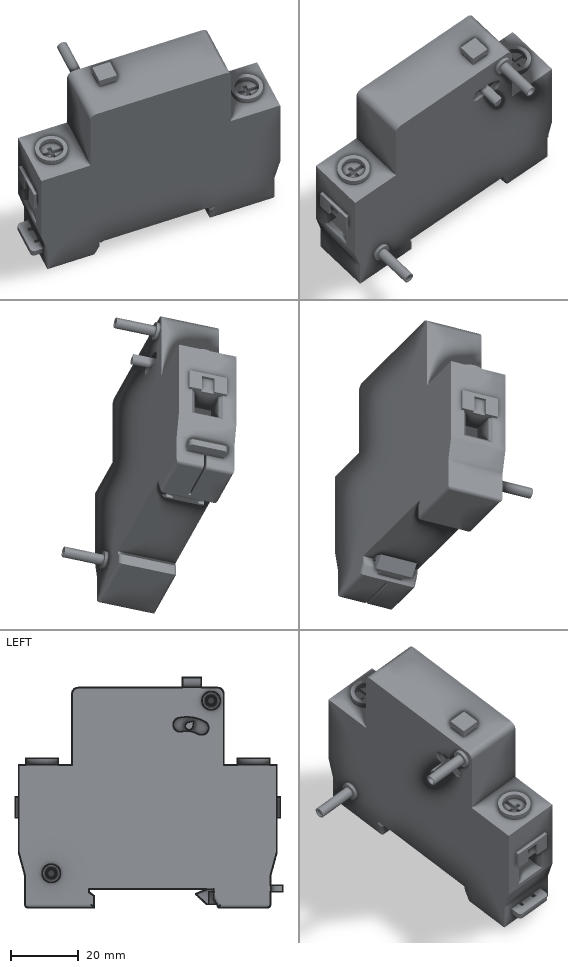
import cadquery as cq
import math

WIDTH = 18.0
LENGTH = 76.5
SHOULDER_Z = 42.3
BLOCK_TOP_Z = 65.2
BLOCK_FRONT_Y = 15.7
BLOCK_LENGTH = 45.0
BLOCK_BACK_Y = BLOCK_FRONT_Y + BLOCK_LENGTH
BLOCK_RADIUS = 2.0
TAPER_TOP_Z = 16.5
TAPER_BOTTOM_Z = 9.5
TAPER_INSET = 1.9
MID_X = WIDTH / 2
MID_Y = LENGTH / 2
CLIP_X = 8.9

RAIL_SEAT_Z = 5.5
FOOT_RADIUS = 1.0
FRONT_SLOPE_TOP_Y = 20.2
FRONT_SLOPE_BOTTOM_Y = 17.3
FRONT_TRIM_Y = 18.7
SLIT_WIDTH = 0.8
BACK_FOOT_Y = 54.1
BACK_UNDERCUT_Y = 55.6
BACK_HOOK_Z = 3.5
BACK_UNDERCUT_Z = 4.6

SCREW_FRONT_Y = 6.9
SCREW_SPACING = 62.6
SCREW_BOSS_DIAMETER = 9.6
SCREW_BOSS_HEIGHT = 2.0
SCREW_RECESS_DIAMETER = 7.2
CROSS_LONG = 7.2
CROSS_SHORT = 4.2
CROSS_WIDTH = 1.3
CROSS_DEPTH = 1.0
CROSS_TAPER_ANGLE = 10.0

WINDOW_WIDTH = 9.6
WINDOW_BOTTOM_Z = 18.0
WINDOW_DEPTH = 8.0
WINDOW_CHAMFER = 1.0
SHUTTER_WIDTH = 11.8
SHUTTER_BOTTOM_Z = 26.6
SHUTTER_HEIGHT = 6.2
SHUTTER_THICKNESS = 1.0
SHUTTER_NOTCH_WIDTH = 3.9
SHUTTER_NOTCH_HEIGHT = 5.0

BUTTON_SIZE = 5.6
BUTTON_X = 3.2
BUTTON_Y = 22.4
BUTTON_HEIGHT = 3.0

PIN_LENGTH = 13.2
PIN_DIAMETER = 3.2
PIN_BORE_DIAMETER = 2.3
COLLAR_DIAMETER = 5.4
COLLAR_THICKNESS = 1.0
PIN_CENTERS = [(19.5, 61.3), (66.8, 10.2)]

SLOT_CENTER_Y = 26.7
SLOT_CENTER_Z = 45.5
SLOT_PATH_RADIUS = 8.9
SLOT_HALF_WIDTH = 2.1
SLOT_FRONT_ANGLE = 119.5
SLOT_BACK_ANGLE = 77.5
SLOT_DEPTH = 2.0
LEVER_Y = 26.0
LEVER_Z = 53.8
LEVER_RADIUS = 1.15
LEVER_TIP_DISTANCE = 2.0
LEVER_TIP_ANGLE = 135.0
LEVER_LENGTH = 5.8

CLIP_WIDTH = 11.8
TAB_REACH = 1.75
TAB_BOTTOM_Z = 4.7
TAB_THICKNESS = 2.0
TAB_RADIUS = 1.1
HEAD_TIP_Y = 24.1
HEAD_TIP_Z = 4.1
HEAD_FACE_Y = 20.8
HEAD_BACK_Y = 20.2
HEAD_BOTTOM_Z = 1.0
NECK_WIDTH = 8.0
NECK_START_Y = 16.0
TAB_RECESS_WIDTH = 6.1
TAB_RECESS_REACH = 1.4
TAB_RECESS_DEPTH = 1.5
TAB_BRIDGE_WIDTH = 3.7
TAB_BRIDGE_DROP = 0.2


def box(x0, x1, y0, y1, z0, z1):
    return cq.Workplane("XY").box(x1 - x0, y1 - y0, z1 - z0, centered=False).translate((x0, y0, z0))


def extrude_x(points, x0, x1):
    """Extrude a closed (Y, Z) outline from x0 to x1."""
    return cq.Workplane("YZ").workplane(offset=x0).polyline(points).close().extrude(x1 - x0)


def edge_near(solid, x, y, z):
    return solid.edges(cq.selectors.NearestToPointSelector((x, y, z))).val()


def housing_shell():
    """Side outline extruded across the width, with rounded top and feet."""
    shell = extrude_x(
        [
            (0, SHOULDER_Z),
            (0, TAPER_TOP_Z),
            (TAPER_INSET, TAPER_BOTTOM_Z),
            (TAPER_INSET, 0),
            (FRONT_SLOPE_BOTTOM_Y, 0),
            (FRONT_SLOPE_TOP_Y, RAIL_SEAT_Z),
            (BACK_UNDERCUT_Y, RAIL_SEAT_Z),
            (BACK_UNDERCUT_Y, BACK_UNDERCUT_Z),
            (BACK_FOOT_Y, BACK_HOOK_Z),
            (BACK_FOOT_Y, 0),
            (LENGTH - TAPER_INSET, 0),
            (LENGTH - TAPER_INSET, TAPER_BOTTOM_Z),
            (LENGTH, TAPER_TOP_Z),
            (LENGTH, SHOULDER_Z),
            (BLOCK_BACK_Y, SHOULDER_Z),
            (BLOCK_BACK_Y, BLOCK_TOP_Z),
            (BLOCK_FRONT_Y, BLOCK_TOP_Z),
            (BLOCK_FRONT_Y, SHOULDER_Z),
        ],
        0,
        WIDTH,
    )
    shell = shell.faces(">Z").edges("|X").fillet(BLOCK_RADIUS)
    rounded_edges = shell.faces("<Z").edges("|Y").vals()
    for y in (TAPER_INSET, LENGTH - TAPER_INSET):
        rounded_edges.append(edge_near(shell, MID_X, y, 0))
    slope_middle_y = (FRONT_SLOPE_TOP_Y + FRONT_SLOPE_BOTTOM_Y) / 2
    for x in (0, WIDTH):
        rounded_edges.append(edge_near(shell, x, slope_middle_y, RAIL_SEAT_Z / 2))
        rounded_edges.append(edge_near(shell, x, BACK_FOOT_Y, BACK_HOOK_Z / 2))
    shell = shell.newObject(rounded_edges).fillet(FOOT_RADIUS)
    return shell.cut(box(0, WIDTH, FRONT_TRIM_Y, MID_Y, 0, RAIL_SEAT_Z))


def screw_boss():
    """Terminal screw ring, its recess reaching down to the shoulder."""
    return (
        cq.Workplane("XY")
        .circle(SCREW_BOSS_DIAMETER / 2)
        .circle(SCREW_RECESS_DIAMETER / 2)
        .extrude(SCREW_BOSS_HEIGHT)
    )


def screw_cross():
    """Tapered cross slot, sunk below its own origin."""

    def arm(size_x, size_y):
        return cq.Workplane("XY").rect(size_x, size_y).extrude(-CROSS_DEPTH, taper=CROSS_TAPER_ANGLE)

    return arm(CROSS_WIDTH, CROSS_LONG).union(arm(CROSS_SHORT, CROSS_WIDTH))


def window_cut():
    """Wire entry in the front end, with a bevelled lip."""
    half = WINDOW_WIDTH / 2
    throat = half - WINDOW_CHAMFER
    throat_bottom = WINDOW_BOTTOM_Z + WINDOW_CHAMFER
    pocket = box(MID_X - throat, MID_X + throat, 0, WINDOW_DEPTH, throat_bottom, SHUTTER_BOTTOM_Z)
    lip = (
        cq.Workplane("XY")
        .polyline(
            [
                (MID_X - half, 0),
                (MID_X + half, 0),
                (MID_X + throat, WINDOW_CHAMFER),
                (MID_X - throat, WINDOW_CHAMFER),
            ]
        )
        .close()
        .extrude(SHUTTER_BOTTOM_Z - WINDOW_BOTTOM_Z)
        .translate((0, 0, WINDOW_BOTTOM_Z))
    )
    sill = extrude_x(
        [(0, WINDOW_BOTTOM_Z), (WINDOW_CHAMFER, WINDOW_BOTTOM_Z), (WINDOW_CHAMFER, throat_bottom)],
        0,
        WIDTH,
    )
    return pocket.union(lip.cut(sill))


def shutter():
    half = SHUTTER_WIDTH / 2
    notch_half = SHUTTER_NOTCH_WIDTH / 2
    top_z = SHUTTER_BOTTOM_Z + SHUTTER_HEIGHT
    notch_top_z = SHUTTER_BOTTOM_Z + SHUTTER_NOTCH_HEIGHT
    plate = box(CLIP_X - half, CLIP_X + half, -SHUTTER_THICKNESS, 0, SHUTTER_BOTTOM_Z, top_z)
    notch = box(
        CLIP_X - notch_half, CLIP_X + notch_half, -SHUTTER_THICKNESS, 0, SHUTTER_BOTTOM_Z, notch_top_z
    )
    return plate.cut(notch)


def to_back_end(shape):
    """Copy of a front-end feature, mirrored to the back end."""
    return shape.mirror("XZ").translate((0, LENGTH, 0))


def cylinder_x(y, z, diameter, x0, x1):
    return cq.Workplane("YZ").workplane(offset=x0).center(y, z).circle(diameter / 2).extrude(x1 - x0)


def coupling_pin(y, z):
    shank = cylinder_x(y, z, PIN_DIAMETER, -PIN_LENGTH, 0)
    collar = cylinder_x(y, z, COLLAR_DIAMETER, -COLLAR_THICKNESS, 0)
    bore = cylinder_x(y, z, PIN_BORE_DIAMETER, -PIN_LENGTH, 0)
    return shank.union(collar).cut(bore)


def polar_point(center_y, center_z, radius, angle):
    """(Y, Z) point at an angle in degrees, measured from +Y toward +Z."""
    turn = math.radians(angle)
    return (center_y + radius * math.cos(turn), center_z + radius * math.sin(turn))


def curved_slot():
    """Round-ended slot that follows an arc."""
    outer = SLOT_PATH_RADIUS + SLOT_HALF_WIDTH
    inner = SLOT_PATH_RADIUS - SLOT_HALF_WIDTH
    middle_angle = (SLOT_FRONT_ANGLE + SLOT_BACK_ANGLE) / 2
    cap_turn = 2 * math.degrees(math.asin(SLOT_HALF_WIDTH / SLOT_PATH_RADIUS / 2))
    back_cap_angle = SLOT_BACK_ANGLE - cap_turn
    front_cap_angle = SLOT_FRONT_ANGLE + cap_turn

    def point(radius, angle):
        return polar_point(SLOT_CENTER_Y, SLOT_CENTER_Z, radius, angle)

    return (
        cq.Workplane("YZ")
        .moveTo(*point(outer, SLOT_FRONT_ANGLE))
        .threePointArc(point(outer, middle_angle), point(outer, SLOT_BACK_ANGLE))
        .threePointArc(point(SLOT_PATH_RADIUS, back_cap_angle), point(inner, SLOT_BACK_ANGLE))
        .threePointArc(point(inner, middle_angle), point(inner, SLOT_FRONT_ANGLE))
        .threePointArc(point(SLOT_PATH_RADIUS, front_cap_angle), point(outer, SLOT_FRONT_ANGLE))
        .close()
        .extrude(SLOT_DEPTH)
    )


def trip_lever():
    """Teardrop bar rising from the slot floor, its tip pointing up and toward the front end."""
    half_opening = math.degrees(math.acos(LEVER_RADIUS / LEVER_TIP_DISTANCE))
    front_tangent_angle = LEVER_TIP_ANGLE + half_opening
    back_tangent_angle = LEVER_TIP_ANGLE - half_opening

    def point(radius, angle):
        return polar_point(LEVER_Y, LEVER_Z, radius, angle)

    return (
        cq.Workplane("YZ")
        .workplane(offset=-LEVER_LENGTH)
        .moveTo(*point(LEVER_TIP_DISTANCE, LEVER_TIP_ANGLE))
        .lineTo(*point(LEVER_RADIUS, front_tangent_angle))
        .threePointArc(
            point(LEVER_RADIUS, LEVER_TIP_ANGLE + 180), point(LEVER_RADIUS, back_tangent_angle)
        )
        .close()
        .extrude(LEVER_LENGTH + SLOT_DEPTH)
    )


def make_clip():
    """Pull tab, bar through the front foot, and wedge head that grips the rail."""
    half = CLIP_WIDTH / 2
    tab_top_z = TAB_BOTTOM_Z + TAB_THICKNESS
    body = extrude_x(
        [
            (-TAB_REACH, TAB_BOTTOM_Z),
            (-TAB_REACH, tab_top_z),
            (FRONT_TRIM_Y, tab_top_z),
            (FRONT_TRIM_Y, RAIL_SEAT_Z),
            (HEAD_FACE_Y, RAIL_SEAT_Z),
            (HEAD_TIP_Y, HEAD_TIP_Z),
            (HEAD_FACE_Y, HEAD_BOTTOM_Z),
            (HEAD_BACK_Y, HEAD_BOTTOM_Z),
            (HEAD_BACK_Y, TAB_BOTTOM_Z),
        ],
        CLIP_X - half,
        CLIP_X + half,
    )
    body = body.faces("<Y").edges("|Z").fillet(TAB_RADIUS)
    neck = box(
        CLIP_X - NECK_WIDTH / 2,
        CLIP_X + NECK_WIDTH / 2,
        NECK_START_Y,
        HEAD_BACK_Y,
        HEAD_BOTTOM_Z,
        TAB_BOTTOM_Z,
    )
    return body.union(neck)


def tab_recess():
    """Recess in the top of the pull tab, with a lower bridge left standing in the middle."""
    top_z = TAB_BOTTOM_Z + TAB_THICKNESS
    front_y = TAPER_INSET - TAB_RECESS_REACH

    def pocket(width, bottom_z, pocket_top_z):
        return box(
            CLIP_X - width / 2, CLIP_X + width / 2, front_y, TAPER_INSET, bottom_z, pocket_top_z
        )

    recess = pocket(TAB_RECESS_WIDTH, top_z - TAB_RECESS_DEPTH, top_z)
    bridge = pocket(TAB_BRIDGE_WIDTH, top_z - TAB_RECESS_DEPTH, top_z - TAB_BRIDGE_DROP)
    return recess.cut(bridge)


def test_button():
    return box(
        BUTTON_X,
        BUTTON_X + BUTTON_SIZE,
        BUTTON_Y,
        BUTTON_Y + BUTTON_SIZE,
        BLOCK_TOP_Z,
        BLOCK_TOP_Z + BUTTON_HEIGHT,
    )


def foot_slit():
    """Narrow slit below the pull tab, running through the front foot to the clip's neck."""
    half = SLIT_WIDTH / 2
    return box(CLIP_X - half, CLIP_X + half, 0, NECK_START_Y, 0, TAB_BOTTOM_Z)


def make_housing(clip):
    """Housing with all its features, hollowed where the clip passes through it."""
    housing = housing_shell()
    for y in (SCREW_FRONT_Y, SCREW_FRONT_Y + SCREW_SPACING):
        spot = (MID_X, y, SHOULDER_Z)
        housing = housing.union(screw_boss().translate(spot)).cut(screw_cross().translate(spot))
    housing = housing.cut(window_cut()).cut(to_back_end(window_cut()))
    housing = housing.union(shutter()).union(to_back_end(shutter()))
    housing = housing.union(test_button())
    for y, z in PIN_CENTERS:
        housing = housing.union(coupling_pin(y, z))
    housing = housing.cut(curved_slot()).union(trip_lever())
    return housing.cut(foot_slit()).cut(clip)


clip_blank = make_clip()
housing = make_housing(clip_blank)
rail_clip = clip_blank.cut(tab_recess())

result = cq.Compound.makeCompound([housing.solids().val(), rail_clip.solids().val()])